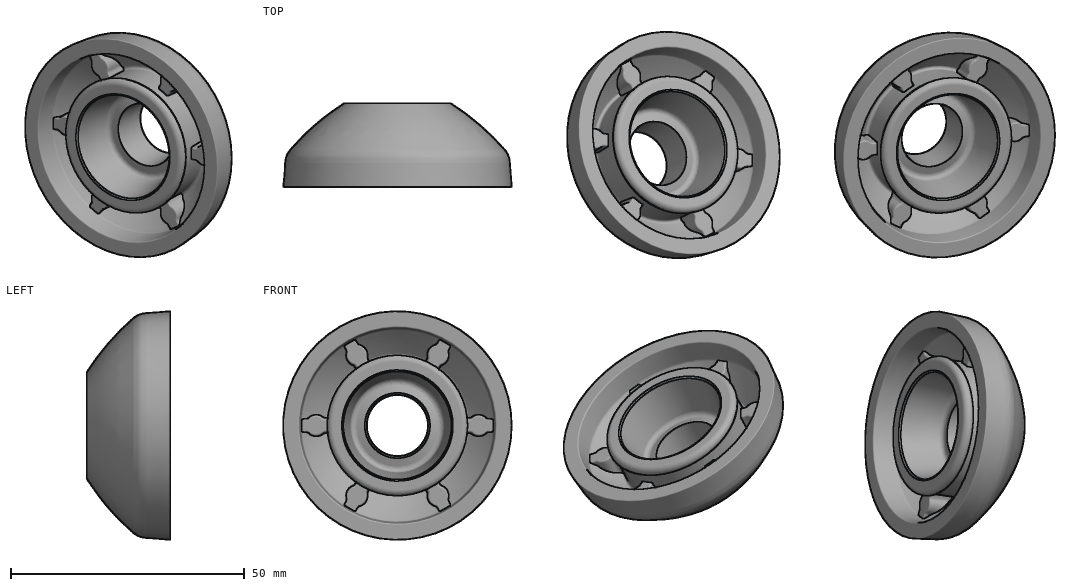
import cadquery as cq
import math


outer_radius = 24.45
height = 17.95
rim_edge_radius = 0.2
band_radius = 24.1
band_depth = 5.15
dome_start_radius = 23.0
dome_start_depth = 7.95
back_radius = 11.35
dome_radius = 53.85
shoulder_radius = 4.5

cavity_mouth_radius = 21.0
cavity_corner_radius = 20.6
cavity_corner_depth = 5.1
roof_hub_depth = 11.0
roof_thickness = 3.65
cavity_edge_radius = 0.3
cavity_corner_fillet = 0.8

hub_depth = 0.7
hub_radius = 14.55
hub_root_radius = 14.6
hub_root_fillet = 0.5
bead_radius = 1.2
bead_outer_radius = 15.02
bore_mouth_radius = 11.55
bore_edge_radius = 0.35
bore_floor_radius = 9.85
bore_floor_depth = 10.75
bore_floor_fillet = 1.0
ridge_radius = 7.0
ridge_slope = 18.0
hole_radius = 6.5

rib_count = 6
rib_depth = 5.2
rib_length = 9.8
rib_half_width = 1.35
rib_boss_radius = 2.15
rib_boss_position = 17.45
rib_neck_radius = 1.0
rib_edge_radius = 0.35
rib_draft = 3.0


def revolve(profile):
    """Turn a closed (radius, depth) profile about the Y axis."""
    return profile.close().revolve(360, (0, 0, 0), (0, 1, 0))


def make_blank():
    """Solid outer shape without cavity or bore."""
    profile = (
        cq.Workplane("XY")
        .lineTo(outer_radius - rim_edge_radius, 0)
        .radiusArc((outer_radius, rim_edge_radius), -rim_edge_radius)
        .lineTo(band_radius, band_depth)
        .radiusArc((dome_start_radius, dome_start_depth), -shoulder_radius)
        .radiusArc((back_radius, height), -dome_radius)
        .lineTo(0, height)
    )
    return revolve(profile)


def make_cavity():
    """Space in front of the hub face and between rim and hub."""
    bead_center = bead_outer_radius - bead_radius
    bead_center_depth = hub_depth + bead_radius
    bead_end_depth = bead_center_depth + math.sqrt(bead_radius**2 - (hub_radius - bead_center) ** 2)
    profile = (
        cq.Workplane("XY")
        .moveTo(0, hub_depth)
        .lineTo(bead_center, hub_depth)
        .threePointArc((bead_outer_radius, bead_center_depth), (hub_radius, bead_end_depth))
        .lineTo(hub_root_radius, roof_hub_depth)
        .radiusArc((cavity_corner_radius, cavity_corner_depth), dome_radius - roof_thickness)
        .lineTo(cavity_mouth_radius, cavity_edge_radius)
        .radiusArc((cavity_mouth_radius + cavity_edge_radius, 0), -cavity_edge_radius)
        .lineTo(0, 0)
    )
    cavity = revolve(profile)
    for depth, fillet in ((cavity_corner_depth, cavity_corner_fillet), (roof_hub_depth, hub_root_fillet)):
        cavity = cavity.edges(cq.selectors.NearestToPointSelector((0, depth, 0))).fillet(fillet)
    return cavity


def make_rib():
    """One drafted rib along +X with a round boss, wider towards the roof."""
    front = cq.Workplane("XZ", origin=(rib_boss_position, rib_depth, 0))
    depth = height - rib_depth
    strip = front.rect(rib_length, 2 * rib_half_width).extrude(-depth, taper=-rib_draft)
    boss = front.circle(rib_boss_radius).extrude(-depth, taper=-rib_draft)
    rib = strip.union(boss)
    neck_reach = rib_boss_radius + 1
    necks = rib.edges(
        cq.selectors.BoxSelector(
            (rib_boss_position - neck_reach, rib_depth + 0.5, -neck_reach),
            (rib_boss_position + neck_reach, height - 0.5, neck_reach),
        )
    )
    return necks.fillet(rib_neck_radius).faces("<Y").edges().fillet(rib_edge_radius)


def make_bore():
    """Bore with a sloping floor that rises to a ridge around the through hole."""
    rise = (bore_floor_radius - ridge_radius) * math.tan(math.radians(ridge_slope))
    ridge_depth = bore_floor_depth - rise
    profile = (
        cq.Workplane("XY")
        .moveTo(0, hub_depth)
        .lineTo(bore_mouth_radius + bore_edge_radius, hub_depth)
        .radiusArc((bore_mouth_radius, hub_depth + bore_edge_radius), -bore_edge_radius)
        .lineTo(bore_floor_radius, bore_floor_depth)
        .lineTo(ridge_radius, ridge_depth)
        .lineTo(hole_radius, height)
        .lineTo(0, height)
    )
    bore = revolve(profile)
    return bore.edges(cq.selectors.NearestToPointSelector((0, bore_floor_depth, 0))).fillet(bore_floor_fillet)


cavity = make_cavity()
rib = make_rib()
for i in range(rib_count):
    cavity = cavity.cut(rib.rotate((0, 0, 0), (0, 1, 0), i * 360 / rib_count))
result = make_blank().cut(cavity).cut(make_bore())